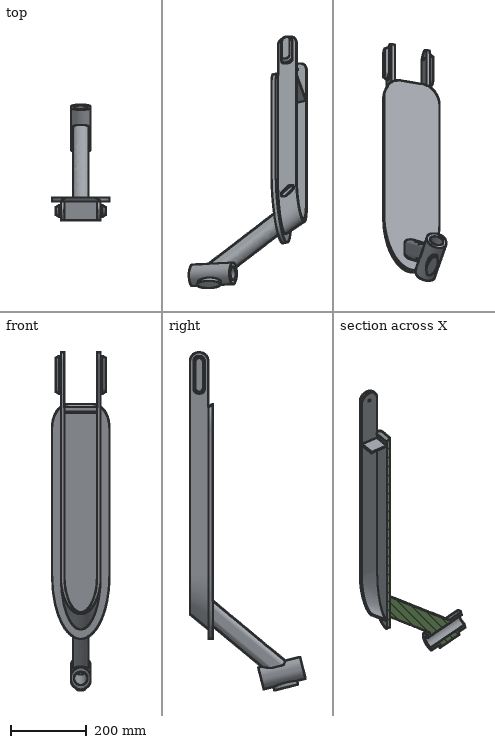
import cadquery as cq
import math

plate_thickness = 12.0
plate_half_width = 76.0
plate_bottom_depth = 165.0
plate_top = 455.0
plate_corner_width = 45.0
plate_corner_height = 62.5
plate_top_bevel = 8.0

fork_depth = 49.0
fork_half_width = 53.0
fork_top = 591.5
arm_thickness = 10.0
fork_front_drop = 100.0
fork_rear_drop = 140.0
fork_bottom_wall = 5.0
bridge_top = 435.0
bridge_thickness = 4.5

pad_length = 100.0
pad_width = 30.0
pad_base_height = 4.5
pad_taper_height = 9.0
pad_taper_angle = 30.0
pad_center_z = 532.0
pin_hole_diameter = 5.0

slot_length = 43.0
slot_width = 18.0
slot_center_z = -38.0
slot_floor_x = -46.5
slot_angle = 45.0

neck_width = 42.0
neck_height = 52.0
neck_side_height = 21.0
neck_angle = 39.6
neck_start_z = -98.0

clamp_y = 194.0
clamp_z = -255.5
clamp_length = 114.0
clamp_width = 53.0
clamp_height = 60.0
clamp_bore = 36.0
clamp_tilt = 14.3
lug_length = 65.0
lug_width = 26.0
lug_height = 10.0
lug_offset = 2.0

arm_center_y = -fork_depth / 2
arm_round_z = fork_top - fork_depth / 2
neck_slope = math.tan(math.radians(neck_angle))
neck_run = clamp_y - plate_thickness
neck_end_z = neck_start_z - neck_run * neck_slope


def half_ellipse(y, half_width, drop):
    """Closed half ellipse hanging below Z = 0 in the plane at the given Y."""
    arc = cq.Edge.makeEllipse(
        drop, half_width, cq.Vector(0, y, 0), cq.Vector(0, -1, 0), cq.Vector(0, 0, -1), -90, 90
    )
    chord = cq.Edge.makeLine(arc.endPoint(), arc.startPoint())
    return cq.Wire.assembleEdges([arc, chord])


def curved_end(half_width, front_drop, rear_drop):
    """Slanted lower end of the fork, deeper at the plate than at the front."""
    front = half_ellipse(-fork_depth, half_width, front_drop)
    rear = half_ellipse(0, half_width, rear_drop)
    return cq.Workplane(cq.Solid.makeLoft([front, rear], True))


def centered_block(width, depth, bottom, top):
    """Block centred on X = 0, reaching forward from the plate."""
    block = cq.Workplane().box(width, depth, top - bottom, centered=(True, False, False))
    return block.translate((0, -depth, bottom))


def make_plate():
    corner_start_z = plate_top - plate_corner_height
    top_half_width = plate_half_width - plate_corner_width
    upper = centered_block(2 * plate_half_width, plate_thickness, 0, corner_start_z)
    upper = upper.union(centered_block(2 * top_half_width, plate_thickness, 0, plate_top))
    upper = upper.translate((0, plate_thickness, 0))
    for side in (-1, 1):
        corner = (
            cq.Workplane("XZ")
            .center(side * top_half_width, corner_start_z)
            .ellipse(plate_corner_width, plate_corner_height)
            .extrude(-plate_thickness)
        )
        upper = upper.union(corner)
    lower = cq.Workplane(
        cq.Solid.extrudeLinear(
            half_ellipse(0, plate_half_width, plate_bottom_depth), [], cq.Vector(0, plate_thickness, 0)
        )
    )
    bevel = (
        cq.Workplane("YZ")
        .polyline([(0, plate_top - plate_top_bevel), (plate_thickness, plate_top), (0, plate_top)])
        .close()
        .extrude(plate_half_width, both=True)
    )
    return upper.union(lower).cut(bevel)


def arm_axis():
    """Workplane centred on the axis of the rounded arm tips."""
    return cq.Workplane("YZ", origin=(0, arm_center_y, arm_round_z))


def make_fork():
    outer = centered_block(2 * fork_half_width, fork_depth, 0, arm_round_z)
    rounded_tip = arm_axis().circle(fork_depth / 2).extrude(fork_half_width, both=True)
    outer = outer.union(rounded_tip).union(curved_end(fork_half_width, fork_front_drop, fork_rear_drop))

    inner_half_width = fork_half_width - arm_thickness
    opening = centered_block(2 * inner_half_width, fork_depth, 0, fork_top)
    opening = opening.union(
        curved_end(
            inner_half_width, fork_front_drop - fork_bottom_wall, fork_rear_drop - fork_bottom_wall
        )
    )
    bridge = centered_block(
        2 * inner_half_width, fork_depth, bridge_top - bridge_thickness, bridge_top
    )
    return outer.cut(opening).union(bridge)


def make_pad(side):
    """Pad on the arm at side = -1 (left) or +1 (right)."""
    plane = cq.Plane(
        origin=(side * fork_half_width, arm_center_y, pad_center_z),
        xDir=(0, 1, 0),
        normal=(side, 0, 0),
    )
    base = cq.Workplane(plane).slot2D(pad_length, pad_width, 90).extrude(pad_base_height)
    cap = (
        cq.Workplane(plane)
        .workplane(offset=pad_base_height)
        .slot2D(pad_length, pad_width, 90)
        .extrude(pad_taper_height, taper=pad_taper_angle)
    )
    return base.union(cap)


def make_pin_holes():
    """Holes through both arms, ending at the pads."""
    return arm_axis().circle(pin_hole_diameter / 2).extrude(fork_half_width, both=True)


def make_side_slot():
    """Slanted flat-bottomed recess, opening to the left."""
    return (
        cq.Workplane("YZ", origin=(slot_floor_x, arm_center_y, slot_center_z))
        .slot2D(slot_length, slot_width, -slot_angle)
        .extrude(-fork_half_width)
    )


def make_frame():
    frame = make_plate().union(make_fork())
    for side in (-1, 1):
        frame = frame.union(make_pad(side))
    return frame.cut(make_pin_holes()).cut(make_side_slot())


def make_neck():
    """Bar with flat sides and elliptic crowns, from inside the clamp up to the rear face of the plate."""
    angle = math.radians(neck_angle)
    plane = cq.Plane(
        origin=(0, clamp_y, neck_end_z),
        xDir=(1, 0, 0),
        normal=(0, -math.cos(angle), math.sin(angle)),
    )
    overshoot = neck_height
    length = neck_run / math.cos(angle) + overshoot
    half_width = neck_width / 2
    half_side = neck_side_height / 2
    crown = neck_height / 2 - half_side
    bar = (
        cq.Workplane(plane)
        .moveTo(-half_width, -half_side)
        .ellipseArc(half_width, crown, 180, 360, startAtCurrent=True)
        .lineTo(half_width, half_side)
        .ellipseArc(half_width, crown, 0, 180, startAtCurrent=True)
        .close()
        .extrude(length)
    )
    trim = centered_block(2 * neck_width, length, neck_start_z - length, neck_start_z + length)
    return bar.cut(trim.translate((0, plate_thickness, 0)))


def make_stem():
    tilt = math.radians(clamp_tilt)
    plane = cq.Plane(
        origin=(0, clamp_y, clamp_z),
        xDir=(1, 0, 0),
        normal=(0, math.cos(tilt), math.sin(tilt)),
    )
    tube = cq.Workplane(plane).slot2D(clamp_height, clamp_width, 90).extrude(clamp_length / 2, both=True)
    bore = cq.Workplane(plane).circle(clamp_bore / 2).extrude(clamp_length / 2, both=True)

    lug_plane = cq.Plane(origin=plane.origin, xDir=plane.zDir, normal=(0, math.sin(tilt), -math.cos(tilt)))
    lug = (
        cq.Workplane(lug_plane)
        .center(lug_offset, 0)
        .ellipse(lug_length / 2, lug_width / 2)
        .extrude(clamp_height / 2 + lug_height)
    )
    return make_neck().union(tube).union(lug).cut(bore)


frame = make_frame()
stem = make_stem()
result = cq.Compound.makeCompound([frame.val(), stem.val()])